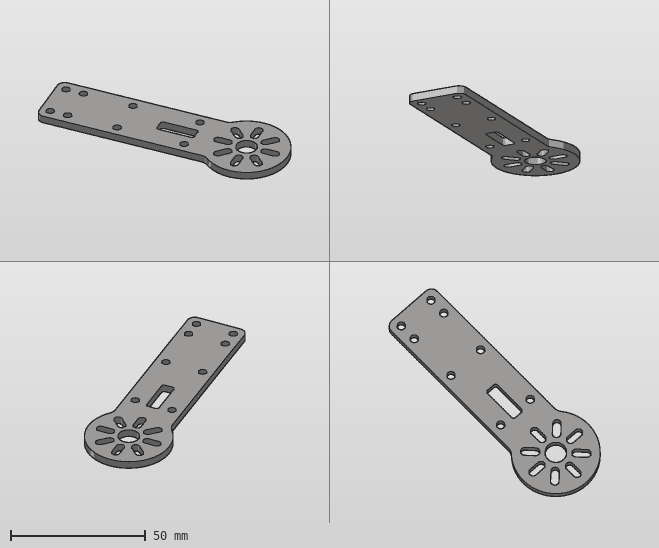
import cadquery as cq
import math

thickness = 3.0
disc_radius = 16.5
arm_length = 80.0
arm_width = 23.3
arm_corner_radius = 3.0
neck_fillet_radius = 4.0

bore_diameter = 8.0

slot_width = 3.1
slot_count = 8
full_turn = 360.0
slot_inner_radius = 7.5
slot_outer_radius = 11.5

screw_hole_diameter = 3.1
screw_row_offset = 7.5
screw_hole_distances = (76.0, 69.0, 49.0, 22.0)

window_length = 15.0
window_width = 5.0
window_corner_radius = 1.0
window_distance = 27.9


def make_body():
    """Rounded arm running in -X from a round disc, with filleted necks."""
    arm = (
        cq.Workplane("XY")
        .center(-arm_length / 2, 0)
        .rect(arm_length, arm_width)
        .extrude(thickness)
        .edges("|Z and <X")
        .fillet(arm_corner_radius)
    )
    disc = cq.Workplane("XY").circle(disc_radius).extrude(thickness)
    half_width = arm_width / 2
    neck_x = -math.sqrt(disc_radius**2 - half_width**2)
    body = arm.union(disc)
    for neck_y in (-half_width, half_width):
        neck_point = (neck_x, neck_y, thickness / 2)
        body = body.edges(cq.selectors.NearestToPointSelector(neck_point)).fillet(neck_fillet_radius)
    return body


def make_radial_slot(angle):
    """Cutter for one round-ended slot pointing away from the disc centre."""
    return (
        cq.Workplane("XY")
        .center((slot_inner_radius + slot_outer_radius) / 2, 0)
        .slot2D(slot_outer_radius - slot_inner_radius + slot_width, slot_width)
        .extrude(thickness)
        .rotate((0, 0, 0), (0, 0, 1), angle)
    )


def cut_motor_mount(body):
    """Central bore and the ring of radial slots."""
    body = body.cut(cq.Workplane("XY").circle(bore_diameter / 2).extrude(thickness))
    for index in range(slot_count):
        body = body.cut(make_radial_slot(index * full_turn / slot_count))
    return body


def cut_screw_holes(body):
    """Two mirrored rows of through holes along the arm."""
    points = [(-distance, side * screw_row_offset) for distance in screw_hole_distances for side in (-1, 1)]
    holes = cq.Workplane("XY").pushPoints(points).circle(screw_hole_diameter / 2).extrude(thickness)
    return body.cut(holes)


def cut_window(body):
    """Rectangular through window with rounded corners."""
    window = (
        cq.Workplane("XY")
        .center(-window_distance, 0)
        .rect(window_length, window_width)
        .extrude(thickness)
        .edges("|Z")
        .fillet(window_corner_radius)
    )
    return body.cut(window)


result = cut_window(cut_screw_holes(cut_motor_mount(make_body())))